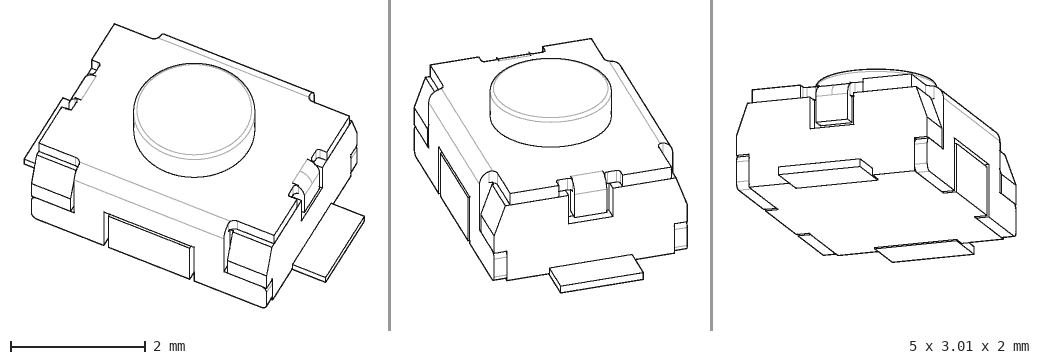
import cadquery as cq

body_length = 3.9
body_width = 3.01
sheet = 0.2
body_bottom = 0.02
cover_top = 1.52
base_top = cover_top - sheet
core_width = body_width - 2 * sheet

button_diameter = 1.8
button_top = 2.0
button_round = 0.05

span = 5.0
terminal_length = 0.775
terminal_width = 1.29
terminal_thickness = 0.12

flap_neck_length = 2.48
flap_foot_top = 0.53
flap_corner_radius = 0.1
corner_notch_depth = 0.25
corner_notch_radius = 0.1

block_gap = 0.06
block_inner_x = flap_neck_length / 2 + block_gap
block_slope_bottom = 0.83
block_top_width = 2.66

window_length = 1.5
window_top = 0.83
pad_length = 1.35
pad_top = 0.77

tab_width = 0.5
tab_bottom = 0.92
recess_width = 0.69
recess_bottom = 0.83
tab_notch_width = 0.99
tab_notch_depth = 0.155
tab_notch_radius = 0.045
tab_root_radius = 0.06

both_sides = (-1, 1)


def block(x_range, y_range, z_range):
    """Box between two limits, given in either order, on each axis."""
    limits = [sorted(pair) for pair in (x_range, y_range, z_range)]
    size = [high - low for low, high in limits]
    corner = [low for low, high in limits]
    return cq.Workplane("XY").box(*size, centered=False).translate(tuple(corner))


def centred(length):
    return (-length / 2, length / 2)


def corner_block(x_side, y_side):
    """Base block at one corner, its outer face sloping inwards to the top."""
    core_y = core_width / 2
    outer_y = body_width / 2
    outline = [
        (y_side * core_y, flap_foot_top),
        (y_side * outer_y, flap_foot_top),
        (y_side * outer_y, block_slope_bottom),
        (y_side * block_top_width / 2, base_top),
        (y_side * core_y, base_top),
    ]
    length = body_length / 2 - block_inner_x
    start_x = block_inner_x if x_side > 0 else -body_length / 2
    return cq.Workplane("YZ").polyline(outline).close().extrude(length).translate((start_x, 0, 0))


def terminal(x_side):
    tip_x = x_side * span / 2
    inner_x = x_side * (span / 2 - terminal_length)
    return block((tip_x, inner_x), centred(terminal_width), (0, terminal_thickness))


def tab_recess(x_side):
    end_x = x_side * body_length / 2
    return block((end_x, end_x - x_side * sheet), centred(recess_width), (recess_bottom, base_top))


def button():
    return (
        cq.Workplane("XY", origin=(0, 0, base_top))
        .circle(button_diameter / 2)
        .extrude(button_top - base_top)
        .faces(">Z")
        .edges()
        .fillet(button_round)
    )


def build_base():
    """Base with its corner blocks, window pads, terminals and button."""
    base = block(centred(body_length), centred(core_width), (body_bottom, base_top))
    for x_side in both_sides:
        for y_side in both_sides:
            base = base.union(corner_block(x_side, y_side))
    for y_side in both_sides:
        pad_y = (y_side * core_width / 2, y_side * body_width / 2)
        base = base.union(block(centred(pad_length), pad_y, (body_bottom, pad_top)))
    for x_side in both_sides:
        base = base.cut(tab_recess(x_side)).union(terminal(x_side))
    return base.union(button())


def cover_top_plate():
    """Top plate with its two bends along the sides rounded over."""
    outer_y = body_width / 2
    bend_y = core_width / 2
    return (
        cq.Workplane("YZ")
        .moveTo(-outer_y, base_top)
        .lineTo(outer_y, base_top)
        .radiusArc((bend_y, cover_top), -sheet)
        .lineTo(-bend_y, cover_top)
        .radiusArc((-outer_y, base_top), -sheet)
        .close()
        .extrude(body_length / 2, both=True)
    )


def corner_notch(x_side, y_side):
    """Cut through the top plate at one corner, rounded where it meets the flap neck."""
    x_range = (x_side * flap_neck_length / 2, x_side * body_length / 2)
    y_range = (y_side * (body_width / 2 - corner_notch_depth), y_side * body_width / 2)
    inner_face = "<X" if x_side > 0 else ">X"
    inner_edge = "<Y" if y_side > 0 else ">Y"
    notch = block(x_range, y_range, (base_top, cover_top))
    return notch.faces(inner_face).edges(inner_edge).fillet(corner_notch_radius)


def side_flap(y_side):
    """Flap with a narrow neck, a full-length rounded foot and a window open at the bottom."""
    flap_y = (y_side * core_width / 2, y_side * body_width / 2)
    neck = block(centred(flap_neck_length), flap_y, (body_bottom, base_top))
    foot = block(centred(body_length), flap_y, (body_bottom, flap_foot_top))
    foot = foot.edges("|Y").fillet(flap_corner_radius)
    window = block(centred(window_length), flap_y, (body_bottom, window_top))
    return neck.union(foot).cut(window)


def tab_notch(x_side, y_side):
    """Cut in the top plate on one side of an end tab, both inner corners rounded."""
    end_x = x_side * body_length / 2
    x_range = (end_x, end_x - x_side * tab_notch_depth)
    y_range = (y_side * tab_width / 2, y_side * tab_notch_width / 2)
    inner_face = "<X" if x_side > 0 else ">X"
    outer_edge, root_edge = (">Y", "<Y") if y_side > 0 else ("<Y", ">Y")
    notch = block(x_range, y_range, (base_top, cover_top))
    notch = notch.faces(inner_face).edges(outer_edge).fillet(tab_notch_radius)
    return notch.faces(inner_face).edges(root_edge).fillet(tab_root_radius)


def tab_bend(x_side):
    """Material outside the rounded bend at the top of one end tab."""
    end_x = x_side * body_length / 2
    bend_x = end_x - x_side * sheet
    corner = block((end_x, bend_x), centred(tab_width), (base_top, cover_top))
    bend = (
        cq.Workplane("XZ", origin=(bend_x, 0, base_top))
        .circle(sheet)
        .extrude(tab_width / 2, both=True)
    )
    return corner.cut(bend)


def end_tab(x_side):
    end_x = x_side * body_length / 2
    return block((end_x, end_x - x_side * sheet), centred(tab_width), (tab_bottom, base_top))


def build_cover():
    """Folded sheet cover with side flaps, end tabs and a hole for the button."""
    cover = cover_top_plate()
    for y_side in both_sides:
        for x_side in both_sides:
            cover = cover.cut(corner_notch(x_side, y_side)).cut(tab_notch(x_side, y_side))
        cover = cover.union(side_flap(y_side))
    for x_side in both_sides:
        cover = cover.cut(tab_bend(x_side)).union(end_tab(x_side))
    return cover.cut(button())


base = build_base()
cover = build_cover()

result = cq.Compound.makeCompound([base.solids().val(), cover.solids().val()])